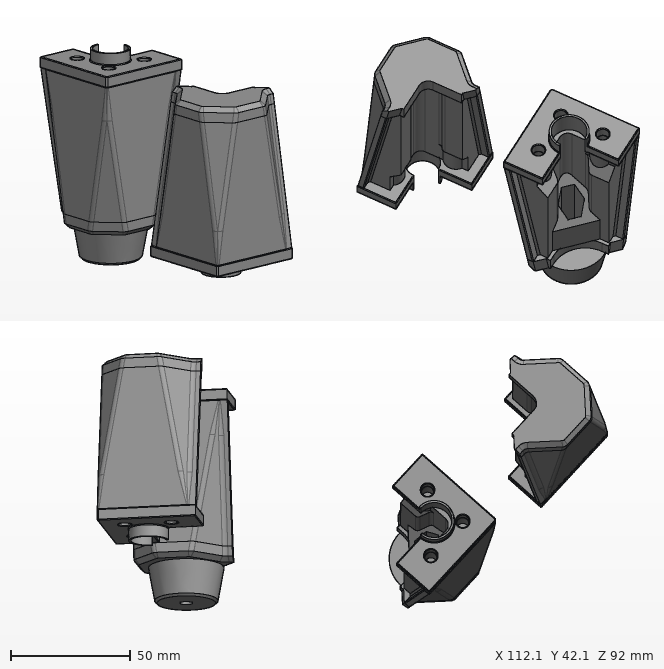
import cadquery as cq
import math

TOTAL_LENGTH = 112.1
SIDE = 42.1
FOOT_HEIGHT = 15.2
CAP_HEIGHT = 6.2
BODY_HEIGHT = 60.5
PLATE_HEIGHT = 4.9
TUBE_HEIGHT = 5.2
HANGING_TUBE_END = 9.2

OVERSIZE = 5.6
EDGE_MARGIN = 0.1

TAPER = 0.181
FIN_FACET_AT_CAP = 15.6
CORNER_FACET_AT_CAP = 11.2
CORNER_FACET_AT_TOP = 0.7
FIN_FOOT = 3.1
EDGE_RADIUS = 3.0
EDGE_RADIUS_AT_TOP = 0.6
BLEND_START = 52.0
CAP_CHAMFER = 2.0

ARM = 18.6
CAP_ARM = 20.2
CORE_ARM = 13.3
CORE_ROUND = 3.7
FLARE_START = 28.1
FLARE_END = 24.8
FLARE_ROUND = 2.0
END_STEP = 4.6
END_ROOT_BEVEL = 0.9
FIN_WIDTH = 2.8
FIN_BEVEL = 0.5
CAP_TIP = 4.0
CAP_FILLET = 4.3
FOOT_CAP_FILLET = 14.9
RECESS_TOP = 56.6

SCREW_EDGE = 10.1
SCREW_PITCH = 20.0
PLATE_HOLE = 5.4
SCREW_HOLE = 5.0
SCREW_DEPTH = 11.2
BOSS_DIAMETER = 11.2
PLATE_BEVEL = 0.39
TUBE_OUTER = 16.8
TUBE_INNER = 15.0
BOLT_HOLE = 5.4
BOLT_X = 21.4
NUT_WIDTH = 10.0
NUT_CORNERS = NUT_WIDTH / math.cos(math.pi / 6)
GUSSET_OFFSET = 9.9
GUSSET_EDGE = 20.4

FOOT_TOP_RADIUS = 15.9
FOOT_MIDDLE_RADIUS = 14.7
FOOT_BOTTOM_RADIUS = 13.3
FOOT_BEVEL = 1.0

INNER = SIDE - ARM
CORE = SIDE - CORE_ARM
BODY_TOP = CAP_HEIGHT + BODY_HEIGHT
PLATE_TOP = BODY_TOP + PLATE_HEIGHT
TUBE_TOP = PLATE_TOP + TUBE_HEIGHT
BOLT = (BOLT_X, SIDE - BOLT_X)
RECESS_BOTTOM = RECESS_TOP - (CORE - INNER)


def across(point):
    """Mirror a plan point over the bracket's diagonal of symmetry."""
    return (SIDE - point[1], SIDE - point[0])


CORNER_HOLE = (SIDE - SCREW_EDGE, SCREW_EDGE)
FAR_HOLE = (SIDE - SCREW_EDGE, SCREW_EDGE + SCREW_PITCH)
ARM_HOLES = [FAR_HOLE, across(FAR_HOLE)]
HOLES = [CORNER_HOLE, *ARM_HOLES]


def with_mirror(shape):
    """Join a shape with its mirror image over the diagonal of symmetry."""
    return shape.union(shape.mirror((1, 1, 0), (SIDE, 0, 0)))


def prism(points, bottom, top):
    return cq.Workplane("XY").workplane(offset=bottom).polyline(points).close().extrude(top - bottom)


def cylinder(center, diameter, bottom, top):
    base = cq.Workplane("XY").workplane(offset=bottom).center(*center)
    return base.circle(diameter / 2).extrude(top - bottom)


def cone(center, bottom_diameter, top_diameter, bottom, top):
    base = cq.Vector(*center, bottom)
    return cq.Workplane(cq.Solid.makeCone(bottom_diameter / 2, top_diameter / 2, top - bottom, pnt=base))


def mirrored_corners(corners):
    """Continue a half outline of (x, y, radius) corners over the diagonal."""
    return [(*across((x, y)), radius) for x, y, radius in reversed(corners)]


def rounded_outline(corners, height):
    """Closed wire through (x, y, radius) corners, each rounded by its radius (0 = sharp)."""
    edges = []
    ends = []
    for i, (x, y, radius) in enumerate(corners):
        corner = cq.Vector(x, y, height)
        before = (cq.Vector(*corners[i - 1][:2], height) - corner).normalized()
        after_corner = corners[(i + 1) % len(corners)]
        after = (cq.Vector(*after_corner[:2], height) - corner).normalized()
        half = before.getAngle(after) / 2
        setback = radius / math.tan(half)
        middle = corner + (before + after).normalized() * (radius / math.sin(half) - radius)
        ends.append((corner + before * setback, middle, corner + after * setback, radius))
    for i, (start, middle, end, radius) in enumerate(ends):
        if radius:
            edges.append(cq.Edge.makeThreePointArc(start, middle, end))
        edges.append(cq.Edge.makeLine(end, ends[(i + 1) % len(ends)][0]))
    return cq.Wire.assembleEdges(edges)


def fin_facet(height):
    return FIN_FACET_AT_CAP - TAPER * height


def fin_wall(height):
    return fin_facet(height) - FIN_FOOT


def outer_section(height, corner_facet, radius, corner_radius):
    facet = fin_facet(height)
    half = [
        (0, fin_wall(height), 0),
        (FIN_FOOT, fin_wall(height), radius),
        (facet, 0, radius),
        (SIDE - corner_facet, 0, corner_radius),
    ]
    return rounded_outline(half + mirrored_corners(half) + [(0, SIDE, 0)], height)


def outer_shape():
    cap_end = outer_section(0, CORNER_FACET_AT_CAP, EDGE_RADIUS, EDGE_RADIUS)
    blend_facet = CORNER_FACET_AT_CAP - TAPER * BLEND_START
    blend = outer_section(BLEND_START, blend_facet, EDGE_RADIUS, EDGE_RADIUS)
    plate_end = outer_section(BODY_TOP, CORNER_FACET_AT_TOP, EDGE_RADIUS_AT_TOP, EDGE_RADIUS_AT_TOP)
    return cq.Workplane(cq.Solid.makeLoft([cap_end, blend, plate_end], True))


def open_corner(arm, bottom, top):
    """The square region between the two arms, reaching past their ends."""
    inner = SIDE - arm
    outside = SIDE + OVERSIZE
    return prism([(inner, arm), (inner, outside), (-OVERSIZE, outside), (-OVERSIZE, arm)], bottom, top)


def slanted_prism(section, bottom, top):
    """Ruled solid through the plan points that section(height) gives at both ends."""
    ends = []
    for height in (bottom, top):
        corners = [cq.Vector(x, y, height) for x, y in section(height)]
        ends.append(cq.Wire.makePolygon(corners, close=True))
    return cq.Workplane(cq.Solid.makeLoft(ends, True))


def tip_section(height):
    """Plan of the corner cut off an arm's tip; it starts at the fin's inner edge."""
    fin_edge = fin_wall(height) + FIN_WIDTH
    return [
        (-OVERSIZE, fin_edge - OVERSIZE),
        (CAP_TIP, fin_edge + CAP_TIP),
        (CAP_TIP, SIDE),
        (-OVERSIZE, SIDE),
    ]


def cap_slab():
    """The layer between the cap's free face and the seam to the body."""
    outside = SIDE + OVERSIZE
    near = -OVERSIZE
    return prism([(near, near), (outside, near), (outside, outside), (near, outside)], 0, CAP_HEIGHT)


def make_cap(notch_fillet, bolted):
    cap = outer_shape().intersect(cap_slab())
    gap = EDGE_MARGIN
    away_from_arm_ends = cq.selectors.BoxSelector((gap, -gap, -gap), (SIDE + gap, SIDE - gap, gap))
    cap = cap.faces("<Z").edges(away_from_arm_ends).chamfer(CAP_CHAMFER)
    notch = open_corner(CAP_ARM, 0, CAP_HEIGHT)
    cap = cap.cut(notch.edges("|Z and >X and <Y").fillet(notch_fillet))
    cap = cap.cut(with_mirror(slanted_prism(tip_section, 0, CAP_HEIGHT)))
    if bolted:
        cap = cap.cut(cylinder(BOLT, BOLT_HOLE, 0, CAP_HEIGHT))
        cone_depth = (NUT_CORNERS - BOLT_HOLE) / 2
        cap = cap.cut(cone(BOLT, BOLT_HOLE, NUT_CORNERS, CAP_HEIGHT - cone_depth, CAP_HEIGHT))
    return cap


def core_notch():
    """Opening between the arms, with a rounded core and flared, rounded sides."""
    half = [
        (INNER, SIDE + OVERSIZE, 0),
        (INNER, FLARE_START, FLARE_ROUND),
        (CORE, FLARE_END, FLARE_ROUND),
    ]
    core = [(CORE, CORE_ARM, CORE_ROUND)]
    corners = half + core + mirrored_corners(half) + [(-OVERSIZE, SIDE + OVERSIZE, 0)]
    outline = rounded_outline(corners, CAP_HEIGHT)
    return cq.Workplane(cq.Solid.extrudeLinear(outline, [], cq.Vector(0, 0, BODY_HEIGHT)))


def plate_recess():
    """Thins both arms next to the plate; its lower end slopes at 45 degrees."""
    profile = [
        (INNER - OVERSIZE, RECESS_BOTTOM - OVERSIZE),
        (CORE, RECESS_TOP),
        (CORE, BODY_TOP),
        (INNER - OVERSIZE, BODY_TOP),
    ]
    start = CORE_ARM + CORE_ROUND
    length = SIDE + OVERSIZE - start
    half = cq.Workplane("XZ").workplane(offset=-start).polyline(profile).close().extrude(-length)
    return with_mirror(half)


def end_section(height):
    """Plan of the step that sets an arm's end back behind the bevelled fin."""
    fin_edge = fin_wall(height) + FIN_WIDTH
    return [
        (-OVERSIZE, fin_edge - FIN_BEVEL - OVERSIZE),
        (FIN_BEVEL, fin_edge),
        (END_STEP - END_ROOT_BEVEL, fin_edge),
        (END_STEP, fin_edge + END_ROOT_BEVEL),
        (END_STEP, SIDE),
        (-OVERSIZE, SIDE),
    ]


def gusset():
    """Block across the open corner whose top rises inwards at 45 degrees."""
    block = prism(
        [
            (ARM - GUSSET_OFFSET, ARM),
            (INNER, INNER + GUSSET_OFFSET),
            (CORE + OVERSIZE, INNER + GUSSET_OFFSET),
            (CORE + OVERSIZE, CORE_ARM - OVERSIZE),
            (ARM - GUSSET_OFFSET, CORE_ARM - OVERSIZE),
        ],
        CAP_HEIGHT,
        BODY_TOP,
    )
    front_middle = ((SIDE - GUSSET_OFFSET) / 2, (SIDE + GUSSET_OFFSET) / 2, 0)
    diagonal_plane = cq.Plane(origin=front_middle, xDir=(1, -1, 0), normal=(-1, -1, 0))
    wedge = (
        cq.Workplane(diagonal_plane)
        .polyline([(0, 0), (SIDE, 0), (SIDE, GUSSET_EDGE + SIDE), (0, GUSSET_EDGE)])
        .close()
        .extrude(SIDE, both=True)
    )
    return block.intersect(wedge)


def nut_pocket():
    """Hexagonal pocket, turned so that two of its flats are parallel to the gusset's front."""
    blank = cq.Workplane("XY").workplane(offset=CAP_HEIGHT).center(*BOLT)
    blank = blank.polygon(6, NUT_CORNERS).extrude(BODY_HEIGHT)
    return blank.rotate((*BOLT, 0), (*BOLT, 1), 45)


def make_body(bolted):
    body = outer_shape().cut(cap_slab())
    body = body.cut(core_notch()).cut(plate_recess())
    body = body.cut(with_mirror(slanted_prism(end_section, 0, BODY_TOP)))
    for hole in ARM_HOLES:
        body = body.union(cylinder(hole, BOSS_DIAMETER, RECESS_BOTTOM, BODY_TOP))
    for hole in HOLES:
        body = body.cut(cylinder(hole, SCREW_HOLE, BODY_TOP - SCREW_DEPTH, BODY_TOP))
    if bolted:
        body = body.union(gusset()).cut(nut_pocket())
    return body


def make_plate():
    block = prism([(0, 0), (SIDE, 0), (SIDE, SIDE), (0, SIDE)], BODY_TOP, PLATE_TOP)
    block = block.edges("|Z and >X and <Y").chamfer(CORNER_FACET_AT_TOP)
    plate = block.cut(open_corner(ARM, BODY_TOP, PLATE_TOP))
    plate = plate.faces("<Z or >Z").edges().chamfer(PLATE_BEVEL)
    rim = PLATE_HOLE + 2 * PLATE_BEVEL
    for hole in HOLES:
        plate = plate.cut(cylinder(hole, PLATE_HOLE, BODY_TOP, PLATE_TOP))
        plate = plate.cut(cone(hole, PLATE_HOLE, rim, PLATE_TOP - PLATE_BEVEL, PLATE_TOP))
    center = (INNER, ARM)
    tube = cylinder(center, TUBE_OUTER, BODY_TOP, TUBE_TOP)
    collar = TUBE_OUTER + 2 * PLATE_BEVEL
    tube = tube.union(cone(center, collar, TUBE_OUTER, PLATE_TOP, PLATE_TOP + PLATE_BEVEL))
    tube = tube.cut(open_corner(ARM, BODY_TOP, TUBE_TOP))
    return plate.union(tube).cut(cylinder(center, TUBE_INNER, BODY_TOP, TUBE_TOP))


def make_foot():
    profile = (
        cq.Workplane("XZ")
        .moveTo(BOLT_HOLE / 2, 0)
        .lineTo(FOOT_BOTTOM_RADIUS - FOOT_BEVEL, 0)
        .lineTo(FOOT_BOTTOM_RADIUS, FOOT_BEVEL)
        .threePointArc((FOOT_MIDDLE_RADIUS, (FOOT_BEVEL + FOOT_HEIGHT) / 2), (FOOT_TOP_RADIUS, FOOT_HEIGHT))
        .lineTo(BOLT_HOLE / 2, FOOT_HEIGHT)
        .close()
    )
    return profile.revolve(360, (0, 0, 0), (0, 1, 0)).translate((*BOLT, 0))


def stand(shape):
    return shape.translate((0, 0, FOOT_HEIGHT))


def hang(shape):
    """Turn a bracket part upside down about its diagonal and move it to the right."""
    turned = shape.rotate((0, SIDE, 0), (SIDE, 0, 0), 180)
    return turned.translate((TOTAL_LENGTH - SIDE, 0, HANGING_TUBE_END + TUBE_TOP))


foot = make_foot()
standing_cap = stand(make_cap(FOOT_CAP_FILLET, True))
standing_body = stand(make_body(True))
plate = make_plate()
standing_plate = stand(plate)
hanging_cap = hang(make_cap(CAP_FILLET, False))
hanging_body = hang(make_body(False))
hanging_plate = hang(plate)

result = cq.Compound.makeCompound(
    [
        foot.val(),
        standing_cap.val(),
        standing_body.val(),
        standing_plate.val(),
        hanging_cap.val(),
        hanging_body.val(),
        hanging_plate.val(),
    ]
)